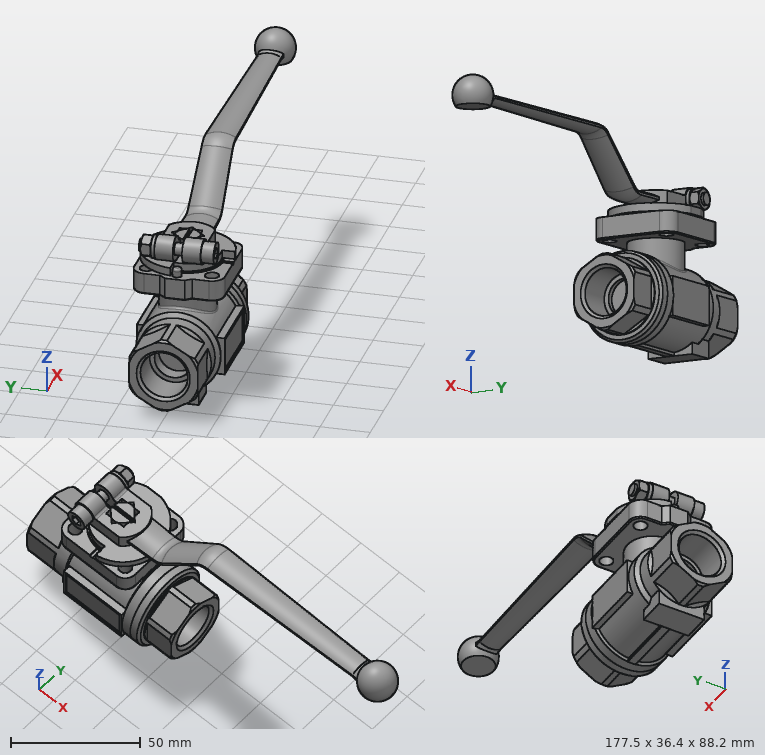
import cadquery as cq
import math


half_length = 37.5
hex_flats = 27.3
barrel_radius = 15.0
end_chamfer = 0.9
hex_end = -22.2
runout_length = 1.2
cone_start = -16.3
body_start = -14.7
body_end = 15.0
body_radius = 16.9
collar_start = 15.8
collar_dia = 36.0
collar_radius = collar_dia / 2
split_x = 20.0
adapter_face = 24.5
adapter_chamfer = 1.0
relief_length = 0.5
thread_radius = 9.4
thread_depth = 15.0
mouth_radius = 10.6
bore_radius = 7.5
bore_depth = 21.3

side_pad_height = 15.5
front_pad_start = -14.2
rear_pad_start = -10.6
front_pad_reach = 18.3
rear_pad_reach = 17.5
label_rim = 1.0
label_depth = 0.5
rib_width = 3.5
rib_start = -10.3
foot_length = 11.9
foot_width = 20.0
foot_z = -18.1

neck_radius = 11.2
neck_fillet = 0.9
flange_bottom = 24.7
flange_top = 33.4
flange_width = 36.2
flange_corner = 5.1
flange_chamfer = 0.5
lobe_reach = 20.0
lobe_tip_half = 3.9
lobe_root_half = 6.4
bolt_hole_dia = 5.5
bolt_hole_offset = 13.0
boss_radius = 13.8
boss_top = 33.9
index_groove_width = 1.6
index_groove_depth = 0.5

pin_radius = 1.8
pin_x = -16.5
pin_depth = 5.3
pin_top = 37.0
pin_round = 1.0

square_side = 9.0
stem_dia = 10.0
stem_bottom = 26.6
slot_width = 1.2
slot_depth = 1.5

disc_radius = 18.5
disc_width = flange_width
disc_inner_radius = 13.1
disc_top = 37.1
stop_gap = 0.5
stop_offset = pin_radius + stop_gap
hub_top = 43.5
hub_width = 18.5
hub_radius = 11.2
slit_width = 3.7
ear_dia = 10.0
ear_fillet = 1.2
screw_x = -11.4
screw_z = 42.2

arm_root_x = 8.0
lower_z = 40.1
upper_z = 62.1
bend_start = 21.1
bend_radius = 7.5
bend_angle = 45
arm_tip_x = 123.2
neck_end_x = 126.4
side_share = 0.2
root_size = (14.0, 5.1)
lower_bend_size = (13.3, 5.0)
upper_bend_size = (12.2, 4.5)
tip_size = (9.4, 3.5)
neck_size = (10.0, 7.1)
knob_radius = 8.0
knob_x = 132.0
knob_flat_z = 57.7

screw_dia = 5.0
head_dia = 8.5
head_height = 5.0
socket_flats = 4.0
socket_depth = 2.5
screw_end_y = 16.0
nut_corners = 9.2
nut_outer_y = 14.9
nut_collar = 1.6
nut_chamfer = 0.5

hub_half = hub_width / 2


def box(x0, x1, y0, y1, z0, z1):
    return cq.Workplane("XY").box(x1 - x0, y1 - y0, z1 - z0, centered=False).translate((x0, y0, z0))


def round_bar(radius, x0, x1):
    """Cylinder on the pipe axis."""
    return cq.Workplane("YZ", origin=(x0, 0, 0)).circle(radius).extrude(x1 - x0)


def round_post(radius, z0, z1):
    """Cylinder on the stem axis."""
    return cq.Workplane("XY", origin=(0, 0, z0)).circle(radius).extrude(z1 - z0)


def turned(points):
    """Solid of revolution about the pipe axis from (x, radius) points."""
    closed = [(points[0][0], 0), *points, (points[-1][0], 0)]
    return cq.Workplane("XY").polyline(closed).close().revolve(360, (0, 0, 0), (1, 0, 0))


def end_hexagon():
    """Left wrench hexagon with a flat on each Y side, rounded corners and a bevelled end."""
    corners = hex_flats / math.cos(math.pi / 6)
    prism = cq.Workplane("YZ", origin=(-half_length, 0, 0)).transformed(rotate=(0, 0, 90))
    prism = prism.polygon(6, corners).extrude(hex_end + half_length)
    envelope = turned([
        (-half_length, barrel_radius - end_chamfer),
        (-half_length + end_chamfer, barrel_radius),
        (hex_end, barrel_radius),
    ])
    return prism.intersect(envelope)


def port():
    """Threaded blind port in the left end, to be mirrored for the right end."""
    mouth_taper = mouth_radius - thread_radius
    return turned([
        (-half_length, mouth_radius),
        (-half_length + mouth_taper, thread_radius),
        (-half_length + thread_depth, thread_radius),
        (-half_length + thread_depth, bore_radius),
        (-half_length + bore_depth, bore_radius),
    ])


def body_pads():
    pad_half = side_pad_height / 2
    label_half = pad_half - label_rim
    label_floor = front_pad_reach - label_depth
    label_x = (front_pad_start + label_rim, collar_start - label_rim)
    rib_half = rib_width / 2
    foot_half = foot_width / 2
    front = box(front_pad_start, collar_start, -front_pad_reach, 0, -pad_half, pad_half)
    rear = box(rear_pad_start, collar_start, 0, rear_pad_reach, -pad_half, pad_half)
    label = box(*label_x, -front_pad_reach, -label_floor, -label_half, label_half)
    ribs = box(rib_start, collar_start, -rib_half, rib_half, -collar_radius, collar_radius)
    foot = box(hex_end, hex_end + foot_length, -foot_half, foot_half, foot_z, 0)
    return front.cut(label).union(rear).union(ribs).union(foot)


def flange():
    half = flange_width / 2
    height = flange_top - flange_bottom
    plate = cq.Workplane("XY", origin=(0, 0, flange_bottom)).rect(flange_width, flange_width)
    plate = plate.extrude(height).edges("|Z").fillet(flange_corner)
    lobe_outline = [
        (0, lobe_root_half),
        (-half, lobe_root_half),
        (-lobe_reach, lobe_tip_half),
        (-lobe_reach, -lobe_tip_half),
        (-half, -lobe_root_half),
        (0, -lobe_root_half),
    ]
    lobe = cq.Workplane("XY", origin=(0, 0, flange_bottom)).polyline(lobe_outline).close().extrude(height)
    plate = plate.union(lobe).faces("<Z").chamfer(flange_chamfer)
    pitch = 2 * bolt_hole_offset
    holes = cq.Workplane("XY", origin=(0, 0, flange_bottom)).rect(pitch, pitch, forConstruction=True)
    holes = holes.vertices().circle(bolt_hole_dia / 2).extrude(height)
    groove_half = index_groove_width / 2
    groove = box(-groove_half, groove_half, -half, 0, flange_top - index_groove_depth, flange_top)
    boss = round_post(boss_radius, flange_bottom, boss_top)
    return plate.cut(holes).cut(groove).union(boss)


def make_housing(stem, pin):
    barrel = turned([
        (hex_end - runout_length, hex_flats / 2),
        (hex_end, barrel_radius),
        (cone_start, barrel_radius),
        (body_start, body_radius),
        (body_end, body_radius),
        (collar_start, collar_radius),
        (split_x, collar_radius),
    ])
    neck = round_post(neck_radius, 0, flange_bottom)
    reach = neck_radius + neck_fillet
    root_top = body_radius + neck_fillet
    neck_root = cq.selectors.BoxSelector((-reach, -reach, 0), (reach, reach, root_top), boundingbox=True)
    body = barrel.union(neck).edges(neck_root).fillet(neck_fillet)
    housing = body.union(end_hexagon()).union(body_pads()).union(flange())
    return housing.cut(port()).cut(stem).cut(pin)


def make_adapter():
    ring = turned([
        (split_x, collar_radius),
        (adapter_face - adapter_chamfer, collar_radius),
        (adapter_face, collar_radius - adapter_chamfer),
    ])
    stub = round_bar(barrel_radius, split_x, adapter_face + relief_length)
    end = end_hexagon().mirror("YZ")
    return ring.union(stub).union(end).cut(port().mirror("YZ"))


def square_post(z0, z1, angle):
    post = cq.Workplane("XY", origin=(0, 0, z0)).rect(square_side, square_side).extrude(z1 - z0)
    return post.rotate((0, 0, 0), (0, 0, 1), angle)


def make_stem():
    lower = round_post(stem_dia / 2, stem_bottom, boss_top)
    upper = round_post(stem_dia / 2, boss_top, hub_top).intersect(square_post(boss_top, hub_top, 45))
    slot = box(-stem_dia, stem_dia, -slot_width / 2, slot_width / 2, hub_top - slot_depth, hub_top)
    return lower.union(upper).cut(slot)


def make_pin():
    pin_bottom = flange_top - pin_depth
    pin = cq.Workplane("XY", origin=(pin_x, 0, pin_bottom)).circle(pin_radius)
    return pin.extrude(pin_top - pin_bottom).faces(">Z").edges().fillet(pin_round)


def stop_disc():
    """Disc with a stepped-back quarter that lets the lever swing between its stops."""
    half = disc_width / 2
    disc = round_post(disc_radius, boss_top, disc_top)
    disc = disc.intersect(box(-disc_radius, disc_radius, -half, half, boss_top, disc_top))
    swing = box(-disc_radius, stop_offset, -disc_radius, stop_offset, boss_top, disc_top)
    return disc.cut(swing.cut(round_post(disc_inner_radius, boss_top, disc_top)))


def hub():
    ear_radius = ear_dia / 2
    block = round_post(hub_radius, disc_top, hub_top)
    block = block.intersect(box(0, hub_radius, -hub_half, hub_half, disc_top, hub_top))
    block = block.union(box(screw_x, 0, -hub_half, hub_half, disc_top, hub_top))
    ears = cq.Workplane("XZ", origin=(screw_x, hub_half, screw_z)).circle(ear_radius).extrude(hub_width)
    crease_x = screw_x + math.sqrt(ear_radius**2 - (hub_top - screw_z) ** 2)
    crease = cq.selectors.NearestToPointSelector((crease_x, 0, hub_top))
    hub_body = block.union(ears).edges(crease).fillet(ear_fillet)
    slit_half = slit_width / 2
    slit_start = screw_x - ear_radius
    slit = box(slit_start, 0, -slit_half, slit_half, disc_top, screw_z + ear_radius)
    return hub_body.cut(slit)


def arm_section(size, centre, angle):
    """Lens-shaped section across the arm, with crowned faces and short straight sides."""
    width, thickness = size
    half_width = width / 2
    crown = thickness / 2
    side = crown * side_share
    tilt = math.radians(angle)
    plane = cq.Plane(
        origin=(centre[0], 0, centre[1]),
        xDir=(0, 1, 0),
        normal=(math.cos(tilt), 0, math.sin(tilt)),
    )
    return (
        cq.Workplane(plane)
        .moveTo(-half_width, -side)
        .threePointArc((0, -crown), (half_width, -side))
        .lineTo(half_width, side)
        .threePointArc((0, crown), (-half_width, side))
        .close()
    )


def arm_stretch(start, end):
    """Tapered straight stretch between two (size, centre, angle) stations."""
    wires = [arm_section(*station).wire().val() for station in (start, end)]
    return cq.Workplane(cq.Solid.makeLoft(wires, True))


def arm():
    tilt = math.radians(bend_angle)
    tangent = bend_radius * math.tan(tilt / 2)
    bend_run = bend_radius * math.sin(tilt)
    bend_rise = bend_radius * (1 - math.cos(tilt))
    upper_start = bend_start + 2 * tangent + (upper_z - lower_z) / math.tan(tilt)
    lower_bend_out = (bend_start + bend_run, lower_z + bend_rise)
    upper_bend_in = (upper_start - bend_run, upper_z - bend_rise)
    stretches = [
        ((root_size, (arm_root_x, lower_z), 0), (lower_bend_size, (bend_start, lower_z), 0)),
        ((lower_bend_size, lower_bend_out, bend_angle), (upper_bend_size, upper_bend_in, bend_angle)),
        ((upper_bend_size, (upper_start, upper_z), 0), (tip_size, (arm_tip_x, upper_z), 0)),
        ((tip_size, (arm_tip_x, upper_z), 0), (neck_size, (neck_end_x, upper_z), 0)),
    ]
    lower_bend = arm_section(lower_bend_size, (bend_start, lower_z), 0)
    lower_bend = lower_bend.revolve(bend_angle, (1.8, bend_radius), (-1.8, bend_radius))
    upper_bend = arm_section(upper_bend_size, (upper_start, upper_z), 0)
    upper_bend = upper_bend.revolve(bend_angle, (1.8, -bend_radius), (-1.8, -bend_radius))
    solid = lower_bend.union(upper_bend)
    for start, end in stretches:
        solid = solid.union(arm_stretch(start, end))
    return solid


def knob():
    ball = cq.Workplane("XY", origin=(knob_x, 0, upper_z)).sphere(knob_radius)
    side = 2 * knob_radius
    keep = box(knob_x - side, knob_x + side, -side, side, knob_flat_z, upper_z + side)
    return ball.intersect(keep)


def make_lever(screw):
    star_socket = square_post(boss_top, hub_top, 0).union(square_post(boss_top, hub_top, 45))
    lever = stop_disc().union(hub()).union(arm()).union(knob())
    return lever.cut(star_socket).cut(screw)


def on_screw_axis(y):
    """Workplane across the clamp screw, facing -Y."""
    return cq.Workplane("XZ", origin=(screw_x, y, screw_z))


def make_screw():
    head_face = -hub_half - head_height
    shank = on_screw_axis(screw_end_y).circle(screw_dia / 2).extrude(screw_end_y + hub_half)
    head = on_screw_axis(-hub_half).circle(head_dia / 2).extrude(head_height)
    socket_corners = socket_flats / math.cos(math.pi / 6)
    socket = on_screw_axis(head_face + socket_depth).transformed(rotate=(0, 0, 90))
    socket = socket.polygon(6, socket_corners).extrude(socket_depth)
    return shank.union(head).cut(socket)


def make_nut(screw):
    hexagon_height = nut_outer_y - hub_half - nut_collar
    hexagon = on_screw_axis(nut_outer_y).transformed(rotate=(0, 0, 90)).polygon(6, nut_corners)
    hexagon = hexagon.extrude(hexagon_height)
    envelope = on_screw_axis(nut_outer_y).circle(nut_corners / 2).extrude(hexagon_height)
    hexagon = hexagon.intersect(envelope.edges().chamfer(nut_chamfer))
    collar = on_screw_axis(hub_half + nut_collar).circle(nut_corners / 2).extrude(nut_collar)
    return hexagon.union(collar).cut(screw)


stem = make_stem()
pin = make_pin()
screw = make_screw()
nut = make_nut(screw)
lever = make_lever(screw)
adapter = make_adapter()
housing = make_housing(stem, pin)

result = cq.Compound.makeCompound([
    housing.val(),
    adapter.val(),
    stem.val(),
    pin.val(),
    lever.val(),
    screw.val(),
    nut.val(),
])